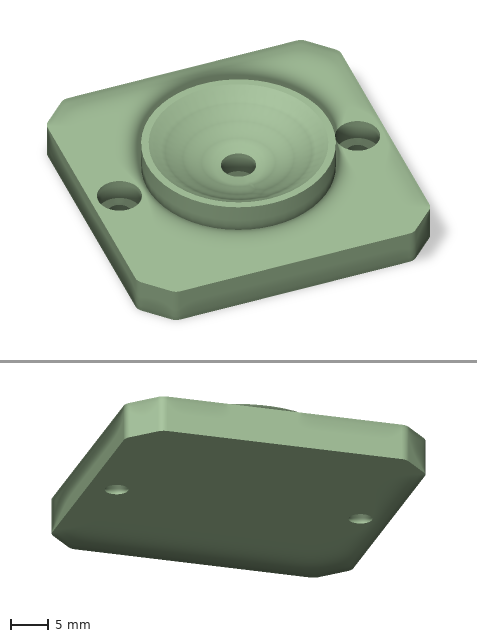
import cadquery as cq
import math

plate_side = 42.0
plate_thickness = 5.0
corner_cut = 4.0
corner_radius = 1.5

boss_diameter = 26.0
boss_height = 4.0
bowl_rim_diameter = 24.0
bowl_sphere_radius = 20.0
center_hole_diameter = 4.7
center_hole_floor = 2.0

screw_offset = 17.0
screw_hole_diameter = 3.2
counterbore_diameter = 6.0
counterbore_depth = 3.0

total_height = plate_thickness + boss_height


def make_plate():
    return (
        cq.Workplane("XY")
        .rect(plate_side, plate_side)
        .extrude(plate_thickness)
        .edges("|Z")
        .chamfer(corner_cut)
        .edges("|Z")
        .fillet(corner_radius)
    )


def make_boss():
    return cq.Workplane("XY").circle(boss_diameter / 2).extrude(total_height)


def make_bowl():
    center_above_top = math.sqrt(bowl_sphere_radius**2 - (bowl_rim_diameter / 2) ** 2)
    sphere_center = (0, 0, total_height + center_above_top)
    return cq.Workplane("XY").sphere(bowl_sphere_radius).translate(sphere_center)


def make_center_hole():
    return (
        cq.Workplane("XY")
        .workplane(offset=center_hole_floor)
        .circle(center_hole_diameter / 2)
        .extrude(total_height - center_hole_floor)
    )


def cut_screw_holes(body):
    return (
        body.faces(">Z")
        .workplane(origin=(0, 0, 0))
        .pushPoints([(0, screw_offset), (0, -screw_offset)])
        .cboreHole(screw_hole_diameter, counterbore_diameter, counterbore_depth)
    )


plate = cut_screw_holes(make_plate())
result = plate.union(make_boss()).cut(make_bowl()).cut(make_center_hole())